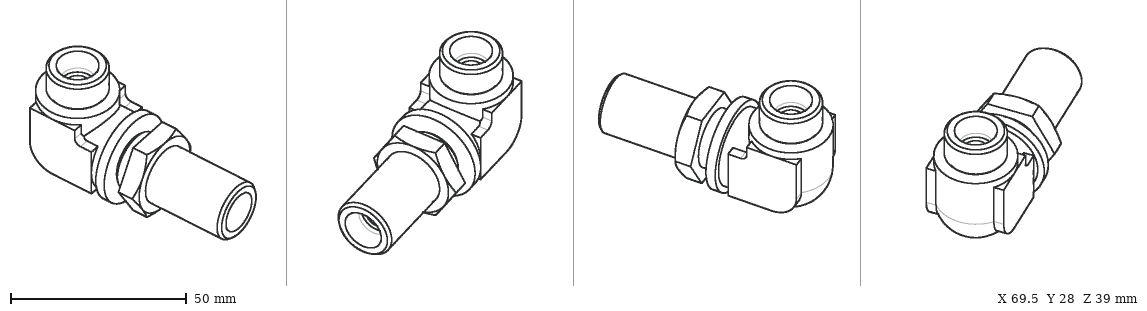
import cadquery as cq
import math


body_dia = 24.0
body_radius = body_dia / 2
body_top = 15.5
flange_dia = 28.0
flange_start = 17.0
flange_end = 20.0

stud_dia = 18.0
upper_stud_end = 39.0 - flange_dia / 2
long_stud_end = 69.5 - body_radius
stud_chamfer_length = 1.0
stud_chamfer_depth = 0.8

bore_dia = 7.0
seat_mouth_dia = 12.15
socket_dia = 10.0
seat_depth = 5.4
socket_depth = 7.0

pad_outer = 8.0
pad_top = 13.0
pad_right = 14.0
pad_notch = 8.0
pad_notch_radius = 2.0

nut_start = 25.0
nut_end = 31.0
nut_flats = 24.0
nut_corner_dia = nut_flats / math.cos(math.radians(30))
nut_chamfer_depth = (nut_corner_dia - nut_flats) / 2
nut_chamfer_length = nut_chamfer_depth * math.tan(math.radians(30))


def revolve_z(points):
    """Solid of revolution about Z from (radius, height) points."""
    return cq.Workplane("XZ").polyline(points).close().revolve(360, (0, 0, 0), (0, 1, 0))


def cylinder_z(diameter, start, end):
    return cq.Workplane("XY").workplane(offset=start).circle(diameter / 2).extrude(end - start)


def turn_to_x(solid):
    """Lay a solid built along Z onto the +X port axis."""
    return solid.rotate((0, 0, 0), (0, 1, 0), 90)


def stud(start, end):
    """Stud with a tapered root and a chamfered tip."""
    radius = stud_dia / 2
    end_radius = radius - stud_chamfer_depth
    return revolve_z([
        (0, start),
        (end_radius, start),
        (radius, start + stud_chamfer_length),
        (radius, end - stud_chamfer_length),
        (end_radius, end),
        (0, end),
    ])


def port_cavity(end):
    """Straight bore from the origin, stepping up to a socket with a conical mouth."""
    socket_floor = end - socket_depth
    return revolve_z([
        (0, 0),
        (bore_dia / 2, 0),
        (bore_dia / 2, socket_floor),
        (socket_dia / 2, socket_floor),
        (socket_dia / 2, end - seat_depth),
        (seat_mouth_dia / 2, end),
        (0, end),
    ])


def elbow_body():
    body = cylinder_z(body_dia, 0, body_top)
    body = body.union(turn_to_x(cylinder_z(body_dia, 0, flange_start)))
    body = body.union(cq.Workplane("XY").sphere(body_radius))
    return body.union(turn_to_x(cylinder_z(flange_dia, flange_start, flange_end)))


def side_pads():
    """Slab across the full body width whose ends form the two flat pads."""
    corner_mid = -pad_outer * math.sqrt(0.5)
    return (
        cq.Workplane("XZ")
        .moveTo(0, -pad_outer)
        .lineTo(pad_right, -pad_outer)
        .lineTo(pad_right, pad_notch)
        .lineTo(pad_notch + pad_notch_radius, pad_notch)
        .radiusArc((pad_notch, pad_notch + pad_notch_radius), pad_notch_radius)
        .lineTo(pad_notch, pad_top)
        .lineTo(-pad_outer, pad_top)
        .lineTo(-pad_outer, 0)
        .threePointArc((corner_mid, corner_mid), (0, -pad_outer))
        .close()
        .extrude(body_radius, both=True)
    )


def lock_nut():
    """Hexagon with flats facing up and down, corners chamfered on the far face."""
    hexagon = (
        cq.Workplane("YZ")
        .workplane(offset=nut_start)
        .polygon(6, nut_corner_dia)
        .extrude(nut_end - nut_start)
    )
    corner_radius = nut_corner_dia / 2
    envelope = revolve_z([
        (0, nut_start),
        (corner_radius, nut_start),
        (corner_radius, nut_end - nut_chamfer_length),
        (corner_radius - nut_chamfer_depth, nut_end),
        (0, nut_end),
    ])
    return hexagon.intersect(turn_to_x(envelope))


outside = (
    elbow_body()
    .union(side_pads())
    .union(stud(body_top, upper_stud_end))
    .union(turn_to_x(stud(flange_end, long_stud_end)))
    .union(lock_nut())
)

result = (
    outside
    .cut(port_cavity(upper_stud_end))
    .cut(turn_to_x(port_cavity(long_stud_end)))
    .cut(cq.Workplane("XY").sphere(bore_dia / 2))
)